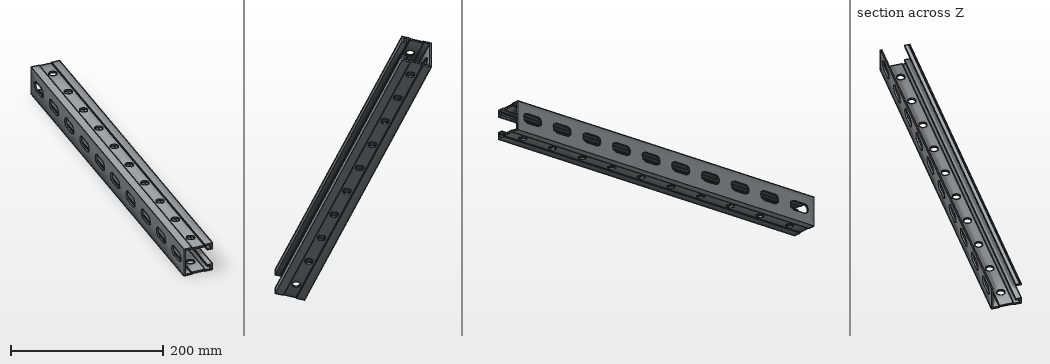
import cadquery as cq
import math

length = 500.0
depth = 41.0
height = 41.5
wall = 2.5

lip_drop = 9.5
lip_return = 7.5

band_drop = 1.0
band_floor_width = 16.5
band_slope_angle = 45.0
band_mouth_width = band_floor_width + 2 * band_drop / math.tan(math.radians(band_slope_angle))
band_bend_offset = wall * math.tan(math.radians(band_slope_angle / 2))

hole_pitch = 50.0
hole_count = round(length / hole_pitch)
flange_hole_diameter = 11.0
slot_length = 30.0
slot_height = 13.5

half_depth = depth / 2
half_height = height / 2
half_floor = band_floor_width / 2
half_mouth = band_mouth_width / 2


def upper_half_section():
    """Section of the upper half as (Y, Z) points, cut at mid height."""
    top = half_height
    ceiling = top - wall
    lip_bottom = top - lip_drop
    lip_top = lip_bottom + wall
    back = -half_depth
    front = half_depth
    outer = [
        (back, 0),
        (back, top),
        (-half_mouth, top),
        (-half_floor, top - band_drop),
        (half_floor, top - band_drop),
        (half_mouth, top),
        (front, top),
        (front, lip_bottom),
    ]
    inner_floor = half_floor + band_bend_offset
    inner_mouth = half_mouth + band_bend_offset
    inner = [
        (front - lip_return, lip_bottom),
        (front - lip_return, lip_top),
        (front - wall, lip_top),
        (front - wall, ceiling),
        (inner_mouth, ceiling),
        (inner_floor, ceiling - band_drop),
        (-inner_floor, ceiling - band_drop),
        (-inner_mouth, ceiling),
        (back + wall, ceiling),
        (back + wall, 0),
    ]
    return outer + inner


def channel():
    upper = (
        cq.Workplane("YZ")
        .polyline(upper_half_section())
        .close()
        .extrude(length / 2, both=True)
    )
    return upper.union(upper.mirror("XY")).clean()


def flange_holes():
    """Round holes through both flanges."""
    return (
        cq.Workplane("XY")
        .rarray(hole_pitch, 5, hole_count, 1)
        .circle(flange_hole_diameter / 2)
        .extrude(height, both=True)
    )


def back_slots():
    """Oblong slots through the back wall only."""
    return (
        cq.Workplane("XZ", origin=(0, -half_depth, 0))
        .rarray(hole_pitch, 5, hole_count, 1)
        .slot2D(slot_length, slot_height)
        .extrude(wall, both=True)
    )


result = channel().cut(flange_holes()).cut(back_slots())